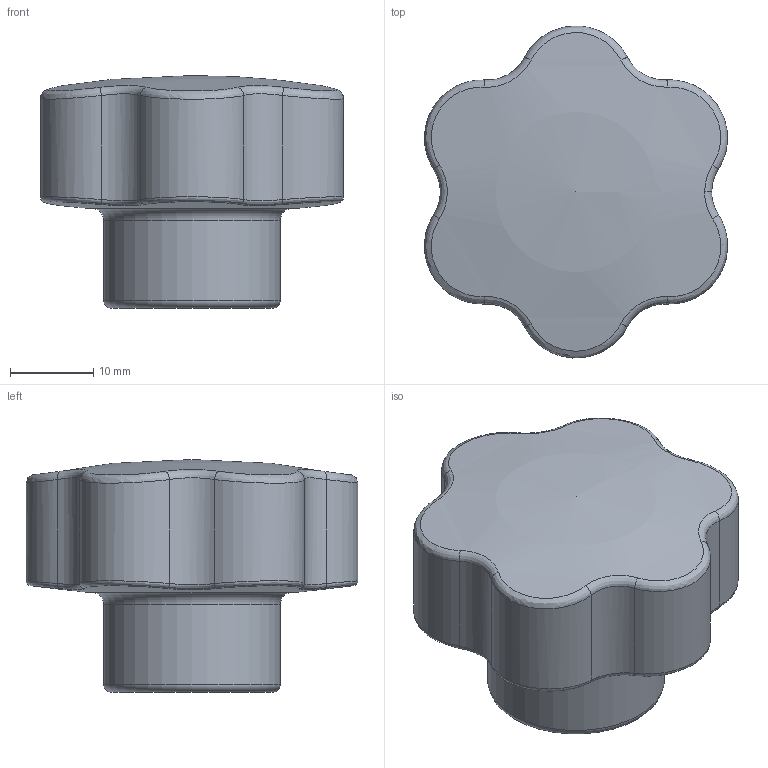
import cadquery as cq
import math

lobe_count = 6
outer_diameter = 40.0
lobe_radius = 7.0
hollow_radius = 5.0
lobe_center_distance = outer_diameter / 2 - lobe_radius
lobe_pitch = 360 / lobe_count
first_lobe_angle = 30.0

total_height = 28.05
underside_flat_height = 12.05
underside_flat_radius = 12.5
top_dome_radius = 100.0
underside_dome_radius = 140.0
underside_dome_center_height = underside_flat_height + math.sqrt(
    underside_dome_radius**2 - underside_flat_radius**2
)
middle_height = (total_height + underside_flat_height) / 2

height_tolerance = 0.05

stem_diameter = 21.3

top_edge_radius = 1.0
underside_edge_radius = 0.6
stem_neck_radius = 1.4
stem_end_radius = 1.0


def polar_point(distance, angle):
    angle_rad = math.radians(angle)
    return distance * math.cos(angle_rad), distance * math.sin(angle_rad)


def point_between(start, end, fraction):
    return tuple(a + fraction * (b - a) for a, b in zip(start, end))


def head_outline(height):
    half_pitch = math.radians(lobe_pitch / 2)
    center_gap = lobe_radius + hollow_radius
    lobe_offset = lobe_center_distance * math.sin(half_pitch)
    hollow_center_distance = lobe_center_distance * math.cos(half_pitch) + math.sqrt(
        center_gap**2 - lobe_offset**2
    )
    hollow_bottom_distance = hollow_center_distance - hollow_radius

    def tangent_point(lobe_angle, side):
        lobe_center = polar_point(lobe_center_distance, lobe_angle)
        hollow_center = polar_point(hollow_center_distance, lobe_angle + side * lobe_pitch / 2)
        return point_between(lobe_center, hollow_center, lobe_radius / center_gap)

    outline = cq.Workplane("XY", origin=(0, 0, height)).moveTo(*tangent_point(first_lobe_angle, -1))
    for i in range(lobe_count):
        angle = first_lobe_angle + i * lobe_pitch
        outline = outline.threePointArc(
            polar_point(outer_diameter / 2, angle), tangent_point(angle, 1)
        )
        outline = outline.threePointArc(
            polar_point(hollow_bottom_distance, angle + lobe_pitch / 2),
            tangent_point(angle + lobe_pitch, -1),
        )
    return outline.close()


def make_head():
    """Lobed prism with a domed top and a domed underside that is flat around the stem."""
    prism = head_outline(underside_flat_height).extrude(total_height - underside_flat_height)
    top_ball = cq.Workplane("XY").sphere(top_dome_radius)
    top_ball = top_ball.translate((0, 0, total_height - top_dome_radius))
    underside_ball = cq.Workplane("XY").sphere(underside_dome_radius)
    underside_ball = underside_ball.translate((0, 0, underside_dome_center_height))
    head = prism.intersect(top_ball).intersect(underside_ball)

    flat_ring_edges = cq.selectors.BoxSelector(
        (-outer_diameter, -outer_diameter, underside_flat_height - height_tolerance),
        (outer_diameter, outer_diameter, underside_flat_height + height_tolerance),
    )
    rim_edges = head.edges(cq.StringSyntaxSelector("not |Z") - flat_ring_edges).vals()
    top_rim = [edge for edge in rim_edges if edge.Center().z > middle_height]
    underside_rim = [edge for edge in rim_edges if edge.Center().z < middle_height]
    head = head.newObject(top_rim).fillet(top_edge_radius)
    return head.newObject(underside_rim).fillet(underside_edge_radius)


def make_stem():
    """Round stem that reaches into the head, rounded at its free end."""
    stem = cq.Workplane("XY").circle(stem_diameter / 2).extrude(middle_height)
    return stem.faces("<Z").edges().fillet(stem_end_radius)


def round_neck(body):
    """Blend the stem into the flat underside of the head."""
    flat_edges = body.faces("%PLANE").faces(">Z").edges("%CIRCLE")
    neck_edge = flat_edges.edges(cq.selectors.RadiusNthSelector(0))
    return neck_edge.fillet(stem_neck_radius)


result = round_neck(make_head().union(make_stem()))